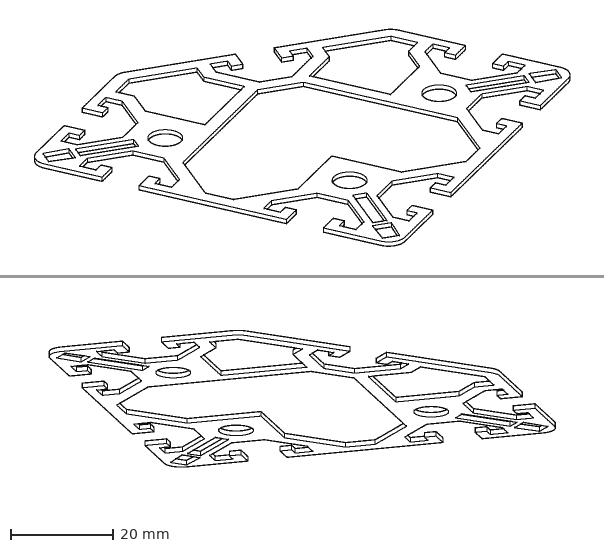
import cadquery as cq
import math

SIDE = 80.0
THICKNESS = 1.0
CUT_CORNER = 40.0
CORNER_RADIUS = 3.5

WALL = 3.0
HOLE_DIAMETER = 6.8
HOLE_INSET = 20.0
CORE_HALF = 7.5

SLOT_OPENING_HALF = 4.0
SLOT_LIP_INNER = 6.4
SLOT_HALF_WIDTH = 10.0
SLOT_FLOOR_HALF = 3.4
SLOT_SKIN = 2.2
SLOT_LIP_DEPTH = 4.5
SLOT_FLOOR_DEPTH = 12.4
SLOT_SHOULDER_DEPTH = SLOT_FLOOR_DEPTH - (SLOT_HALF_WIDTH - SLOT_FLOOR_HALF)

OUTER_WINDOW_START = 3.6
OUTER_WINDOW_END = 9.0
OUTER_WINDOW_NARROW = 3.5
OUTER_WINDOW_WIDE = 3.9
INNER_WINDOW_START = 10.2
INNER_WINDOW_END = 22.2
INNER_WINDOW_WIDTH = 2.9

CHAMBER_INSET = 8.3

OVERCUT = 0.8
SQRT2 = math.sqrt(2)

near = HOLE_INSET
far = SIDE - HOLE_INSET


def prism(points):
    """Extrude a closed polygon through the plate thickness."""
    return cq.Workplane("XY").polyline(points).close().extrude(THICKNESS)


def place(cutter, x, y, angle):
    """Turn a cutter about the origin, then move the origin to (x, y)."""
    return cutter.rotate((0, 0, 0), (0, 0, 1), angle).translate((x, y, 0))


def mirrored(points):
    """Mirror points across the diagonal x + y = SIDE."""
    return [(SIDE - y, SIDE - x) for x, y in points]


def make_plate():
    """Square plate with one corner cut at 45 degrees and rounded outer corners."""
    outline = [
        (0, 0),
        (SIDE, 0),
        (SIDE, SIDE),
        (CUT_CORNER, SIDE),
        (0, SIDE - CUT_CORNER),
    ]
    return prism(outline).edges("|Z").fillet(CORNER_RADIUS)


def make_slot():
    """T-slot cutter: outer face on y = 0, cutting toward +Y, centred on x = 0."""
    half = [
        (SLOT_OPENING_HALF, -OVERCUT),
        (SLOT_OPENING_HALF, SLOT_LIP_DEPTH),
        (SLOT_LIP_INNER, SLOT_LIP_DEPTH),
        (SLOT_LIP_INNER, SLOT_SKIN),
        (SLOT_HALF_WIDTH, SLOT_SKIN),
        (SLOT_HALF_WIDTH, SLOT_SHOULDER_DEPTH),
        (SLOT_FLOOR_HALF, SLOT_FLOOR_DEPTH),
    ]
    return prism(half + [(-x, y) for x, y in reversed(half)])


def make_corner_windows():
    """Two windows along +X, with the sharp outer corner at the origin."""
    narrow = OUTER_WINDOW_NARROW / 2
    wide = OUTER_WINDOW_WIDE / 2
    outer = prism([
        (OUTER_WINDOW_START, -narrow),
        (OUTER_WINDOW_END, -wide),
        (OUTER_WINDOW_END, wide),
        (OUTER_WINDOW_START, narrow),
    ])
    half = INNER_WINDOW_WIDTH / 2
    inner = prism([
        (INNER_WINDOW_START, -half),
        (INNER_WINDOW_END, -half),
        (INNER_WINDOW_END, half),
        (INNER_WINDOW_START, half),
    ])
    return outer.union(inner)


def make_main_chamber():
    """Large central chamber, symmetric about the diagonal x + y = SIDE."""
    wall_left = near + CORE_HALF
    core_left = far - CORE_HALF
    flank_run = SLOT_FLOOR_DEPTH - WALL
    slant_depth = SLOT_FLOOR_DEPTH + WALL
    slant_offset = CUT_CORNER - slant_depth * SQRT2
    lower_half = [
        (wall_left, wall_left + slant_offset),
        (wall_left, SLOT_FLOOR_DEPTH),
        (wall_left + flank_run, WALL),
        (core_left - flank_run, WALL),
        (core_left, SLOT_FLOOR_DEPTH),
    ]
    core_corner = [(core_left, SIDE - core_left)]
    return prism(lower_half + core_corner + mirrored(lower_half)[::-1])


def upper_chamber_points():
    """Side chamber between the slanted slot and the upper screw hole."""
    bottom = far - CORE_HALF + WALL
    right = far - CHAMBER_INSET
    top = SIDE - WALL
    slot_side = far - SLOT_HALF_WIDTH - WALL
    flank_sum = far - SLOT_FLOOR_HALF + SIDE - SLOT_FLOOR_DEPTH - WALL * SQRT2
    slant_offset = CUT_CORNER - WALL * SQRT2
    web_sum = SIDE + (SLOT_HALF_WIDTH + WALL) * SQRT2
    left = near + (SLOT_FLOOR_HALF + SLOT_FLOOR_DEPTH) / SQRT2 + WALL
    return [
        (left, bottom),
        (right, bottom),
        (right, flank_sum - right),
        (slot_side, flank_sum - slot_side),
        (slot_side, top),
        (top - slant_offset, top),
        ((web_sum - slant_offset) / 2, (web_sum + slant_offset) / 2),
        (left, web_sum - left),
    ]


result = make_plate()

slot_places = [
    (near, 0, 0),
    (far, 0, 0),
    (SIDE, near, 90),
    (SIDE, far, 90),
    (far, SIDE, 180),
    (CUT_CORNER / 2, SIDE - CUT_CORNER / 2, 225),
    (0, near, 270),
]
for x, y, angle in slot_places:
    result = result.cut(place(make_slot(), x, y, angle))

for x, y, angle in [(0, 0, 45), (SIDE, 0, 135), (SIDE, SIDE, 225)]:
    result = result.cut(place(make_corner_windows(), x, y, angle))

upper_chamber = upper_chamber_points()
result = result.cut(make_main_chamber())
result = result.cut(prism(upper_chamber))
result = result.cut(prism(mirrored(upper_chamber)))

hole_centres = [(near, near), (far, near), (far, far)]
holes = cq.Workplane("XY").pushPoints(hole_centres).circle(HOLE_DIAMETER / 2).extrude(THICKNESS)
result = result.cut(holes)